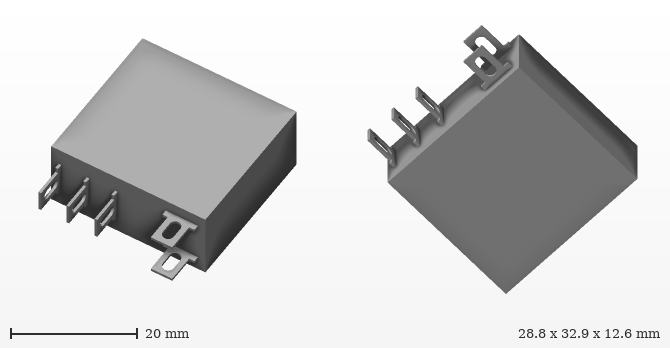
import cadquery as cq

body_length = 28.8
body_depth = 26.9
body_height = 12.6

terminal_reach = 6.0
terminal_thickness = 0.5
shoulder_width = 6.0
shoulder_reach = 1.0
blade_width = 4.0
slot_width = 2.0
slot_length = 4.0
slot_center_reach = 3.0

contact_count = 3
contact_pitch = 5.25
first_contact_inset = 1.65
first_contact_x = -body_length / 2 + first_contact_inset

coil_inset = 4.4
coil_x = body_length / 2 - coil_inset
coil_spacing = 7.5


def make_body():
    """Housing extending from the terminal face toward +Y."""
    return cq.Workplane("XY").box(
        body_length, body_depth, body_height, centered=(True, False, True)
    )


def make_flat_terminal():
    """Terminal lying in the XY plane, centred on the origin and pointing toward -Y."""
    shoulder = cq.Workplane("XY").box(shoulder_width, shoulder_reach, terminal_thickness)
    shoulder = shoulder.translate((0, -shoulder_reach / 2, 0))
    blade = cq.Workplane("XY").box(blade_width, terminal_reach, terminal_thickness)
    blade = blade.translate((0, -terminal_reach / 2, 0))
    slot = (
        cq.Workplane("XY")
        .center(0, -slot_center_reach)
        .slot2D(slot_length, slot_width, angle=90)
        .extrude(terminal_thickness, both=True)
    )
    return shoulder.union(blade).cut(slot)


def make_upright_terminal():
    """The same terminal turned about Y so that it stands in the YZ plane."""
    return make_flat_terminal().rotate((0, 0, 0), (0, 1, 0), 90)


result = make_body()

for index in range(contact_count):
    contact_x = first_contact_x + index * contact_pitch
    result = result.union(make_upright_terminal().translate((contact_x, 0, 0)))

for side in (-1, 1):
    coil_z = side * coil_spacing / 2
    result = result.union(make_flat_terminal().translate((coil_x, 0, coil_z)))